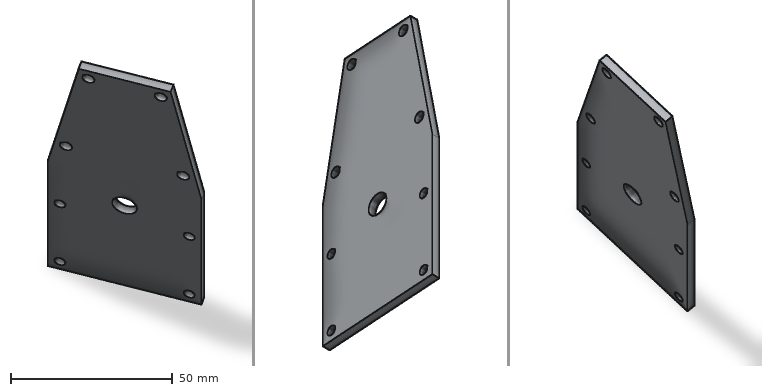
import cadquery as cq

height = 107.0
width = 50.0
top_width = 30.0
thickness = 3.0
shoulder_height = 55.0

center_hole_diameter = 8.0
center_hole_height = 41.6

upper_hole_diameter = 4.0
lower_hole_diameter = 3.5
edge_margin = 4.0
top_pair_offset = 11.8
top_pair_height = height - edge_margin
shoulder_pair_offset = 19.0
shoulder_pair_height = 65.0
lower_pair_offset = width / 2 - edge_margin
middle_pair_height = 34.0
bottom_pair_height = edge_margin


def make_plate():
    """Plate centred on X, standing on Z = 0, with its front face at Y = 0."""
    outline = [
        (-width / 2, 0),
        (width / 2, 0),
        (width / 2, shoulder_height),
        (top_width / 2, height),
        (-top_width / 2, height),
        (-width / 2, shoulder_height),
    ]
    return cq.Workplane("XZ").polyline(outline).close().extrude(-thickness)


def drill(plate, centers, diameter):
    """Cut round through holes at the given (X, Z) centres."""
    holes = cq.Workplane("XZ").pushPoints(centers).circle(diameter / 2).extrude(-thickness)
    return plate.cut(holes)


def mirrored_pair(offset, hole_height):
    return [(-offset, hole_height), (offset, hole_height)]


result = make_plate()
result = drill(result, [(0, center_hole_height)], center_hole_diameter)

hole_pairs = [
    (top_pair_offset, top_pair_height, upper_hole_diameter),
    (shoulder_pair_offset, shoulder_pair_height, upper_hole_diameter),
    (lower_pair_offset, middle_pair_height, lower_hole_diameter),
    (lower_pair_offset, bottom_pair_height, lower_hole_diameter),
]
for pair_offset, pair_height, hole_diameter in hole_pairs:
    result = drill(result, mirrored_pair(pair_offset, pair_height), hole_diameter)